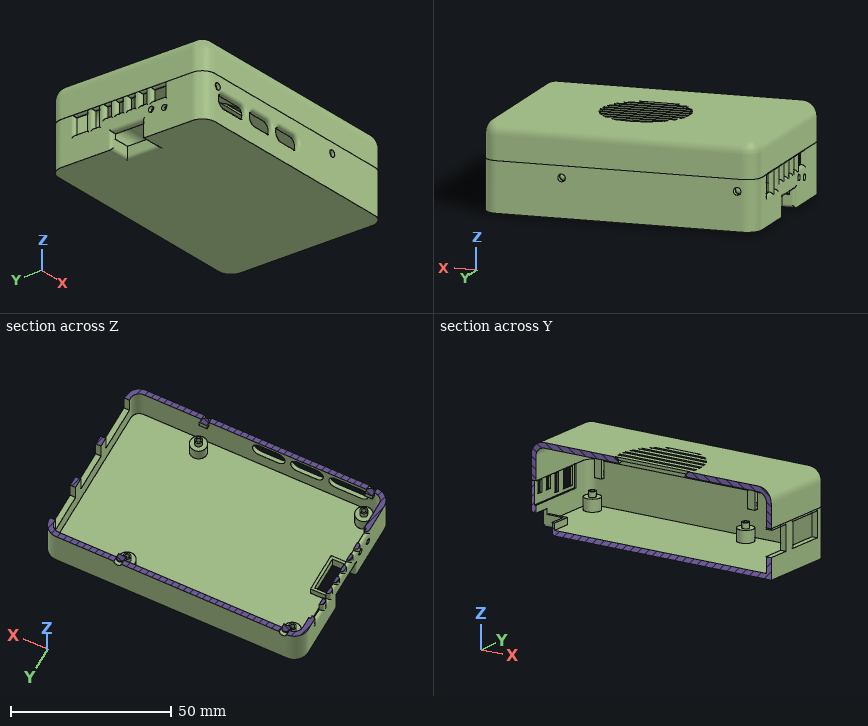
import cadquery as cq
import math

LENGTH = 91.0
WIDTH = 62.0
HEIGHT = 30.0
SPLIT_Z = 16.9
WALL = 2.0
OUTER_RADIUS = 5.0
INNER_RADIUS = OUTER_RADIUS - WALL
INNER_LENGTH = LENGTH - 2 * WALL
INNER_WIDTH = WIDTH - 2 * WALL
MOUTH_RADIUS = 1.1
CLEARANCE = 0.9

BOARD_BOTTOM_Z = 6.3
BOARD_TOP_Z = 7.5
POST_X = (-39.05, 18.9)
POST_Y = 24.5
POST_DIAMETER = 5.7
PEG_DIAMETER = 2.5
PEG_TOP_Z = 8.2
PILOT_DIAMETER = 1.5

VENT_ROW_Y = 3.0
VENT_TOP_Z = 16.3
LARGE_VENT = 4.7
SMALL_VENT = 1.9
SMALL_VENTS = 5
VENT_WIDTHS = [LARGE_VENT] + [SMALL_VENT] * SMALL_VENTS + [LARGE_VENT]
VENT_GAP = 0.59
VENT_STEP = 2 * MOUTH_RADIUS + VENT_GAP
DEEP_VENT_Z = 10.0
SHALLOW_VENT_Z = 12.1
VENT_SKIN = 1.4
DEEP_VENTS = 2

PANEL_HOLE_DIAMETER = 2.0
PANEL_HOLES = ((-9.6, 9.2), (-14.75, 8.2))

NOTCH_WIDTH = 12.1
NOTCH_LENGTH = 8.0
PAD_TOP_Z = 4.4
PAD_MARGIN = 1.0

PORTS = (
    (-31.3, 9.2, 13.7, 4.7),
    (-16.75, 9.4, 11.4, 4.9),
    (-3.4, 9.4, 11.4, 4.9),
)

CONNECTORS = ((-25.1, -9.2), (-5.7, 8.0), (11.7, 25.3))

SNAP_Z = 13.0
SNAP_DIAMETER = 2.5
TAB_WIDTH = 2.7
TAB_THICKNESS = 1.4
TAB_DROP = 1.6

GRILLE_X = 0.3
GRILLE_Y = 4.4
GRILLE_DIAMETER = 26.4
SLAT_COUNT = 9
SLAT_WIDTH = 2.0
SLAT_PITCH = 3.0
SLAT_RECESS = 0.1
SLAT_THICKNESS = 1.0


def block(x_range, y_range, z_range):
    """Box between the given limits."""
    size = [high - low for low, high in (x_range, y_range, z_range)]
    corner = (x_range[0], y_range[0], z_range[0])
    return cq.Workplane("XY").box(*size, centered=False).translate(corner)


def mouth_cutter(profile, width, height):
    """Cutter along +Z through a wall whose outer face is at Z = 0, with a rounded mouth.

    `profile` draws the opening, centred, on a workplane; width and height are its size.
    """
    half_width = width / 2 + MOUTH_RADIUS
    half_height = height / 2 + MOUTH_RADIUS
    margin = 2 * MOUTH_RADIUS
    plate = block(
        (-half_width - margin, half_width + margin),
        (-half_height - margin, half_height + margin),
        (0, WALL),
    )
    mouth = cq.selectors.BoxSelector(
        (-half_width, -half_height, -MOUTH_RADIUS),
        (half_width, half_height, MOUTH_RADIUS),
    )
    pierced = plate.cut(profile(cq.Workplane("XY")).extrude(WALL))
    rounded = pierced.faces("<Z").edges(mouth).fillet(MOUTH_RADIUS)
    inner_end = profile(cq.Workplane("XY", origin=(0, 0, WALL))).extrude(CLEARANCE)
    return plate.cut(rounded).union(inner_end)


def side_wall_cutter(y, z_low, z_high, width):
    """Rectangular opening with a rounded mouth in the -X wall."""
    height = z_high - z_low
    cutter = mouth_cutter(lambda plane: plane.rect(height, width), height, width)
    cutter = cutter.rotate((0, 0, 0), (0, 1, 0), 90)
    return cutter.translate((-LENGTH / 2, y, (z_low + z_high) / 2))


def vent_row_length():
    """Length of the row between the outer sides of its end vents."""
    return sum(VENT_WIDTHS) + VENT_STEP * (len(VENT_WIDTHS) - 1)


def vents():
    """Row of vents, from the +Y end."""
    y_side = VENT_ROW_Y + vent_row_length() / 2
    cutters = []
    for index, width in enumerate(VENT_WIDTHS):
        bottom = DEEP_VENT_Z if index < DEEP_VENTS else SHALLOW_VENT_Z
        cutters.append(side_wall_cutter(y_side - width / 2, bottom, VENT_TOP_Z, width))
        y_side -= width + VENT_STEP
    return cutters


def ports():
    """Rounded-end ports in the -Y wall."""
    cutters = []
    for x, z, width, height in PORTS:
        cutter = mouth_cutter(lambda plane: plane.slot2D(width, height), width, height)
        cutter = cutter.rotate((0, 0, 0), (1, 0, 0), -90)
        cutters.append(cutter.translate((x, -WIDTH / 2, z)))
    return cutters


def panel_holes():
    """Round holes in the -X wall."""
    holes = cq.Workplane("YZ", origin=(-LENGTH / 2, 0, 0)).pushPoints(PANEL_HOLES)
    return holes.circle(PANEL_HOLE_DIAMETER / 2).extrude(WALL)


def connector_openings():
    """Rectangular openings in the +X wall, standing on the board."""
    x_range = (LENGTH / 2 - WALL - CLEARANCE, LENGTH / 2 + CLEARANCE)
    return [block(x_range, y_range, (BOARD_TOP_Z, VENT_TOP_Z)) for y_range in CONNECTORS]


def vent_recess():
    """Recess inside the -X wall that thins it behind the whole row of vents."""
    half_row = vent_row_length() / 2 + MOUTH_RADIUS
    return block(
        (-LENGTH / 2 + VENT_SKIN, -LENGTH / 2 + WALL + CLEARANCE),
        (VENT_ROW_Y - half_row, VENT_ROW_Y + half_row),
        (DEEP_VENT_Z - MOUTH_RADIUS, SPLIT_Z),
    )


def cut_notch(tray):
    """Cut the memory card notch through wall, floor and pad, and round its outer edges."""
    half_width = NOTCH_WIDTH / 2
    x_end = -LENGTH / 2 + NOTCH_LENGTH
    notch = block(
        (-LENGTH / 2 - CLEARANCE, x_end),
        (-half_width, half_width),
        (-CLEARANCE, BOARD_BOTTOM_Z),
    )
    tray = tray.cut(notch)
    reach = MOUTH_RADIUS / 2
    in_wall = cq.selectors.BoxSelector(
        (-LENGTH / 2 - reach, -half_width - reach, 0),
        (-LENGTH / 2 + reach, half_width + reach, BOARD_BOTTOM_Z + reach),
    )
    in_floor = cq.selectors.BoxSelector(
        (-LENGTH / 2 + reach, -half_width - reach, -reach),
        (x_end + reach, half_width + reach, reach),
    )
    return tray.edges(in_wall + in_floor).fillet(MOUTH_RADIUS)


def corner_places():
    """(x, direction of Y) of each board post and of the snap beside it."""
    return [(x, side) for x in POST_X for side in (-1, 1)]


def base():
    """Open tray with board posts, ports, vents and snap holes."""
    tray = cq.Workplane("XY").rect(LENGTH, WIDTH).extrude(SPLIT_Z).edges("|Z").fillet(OUTER_RADIUS)
    cavity = cq.Workplane("XY", origin=(0, 0, WALL)).rect(INNER_LENGTH, INNER_WIDTH).extrude(SPLIT_Z)
    tray = tray.cut(cavity.edges("|Z").fillet(INNER_RADIUS))

    pad_y = NOTCH_WIDTH / 2 + PAD_MARGIN
    pad_x = (-LENGTH / 2 + WALL, -LENGTH / 2 + NOTCH_LENGTH + PAD_MARGIN)
    tray = tray.union(block(pad_x, (-pad_y, pad_y), (0, PAD_TOP_Z)))

    post_places = [(x, side * POST_Y) for x, side in corner_places()]
    for diameter, top in ((POST_DIAMETER, BOARD_BOTTOM_Z), (PEG_DIAMETER, PEG_TOP_Z)):
        tray = tray.union(cq.Workplane("XY").pushPoints(post_places).circle(diameter / 2).extrude(top))
    pilots = cq.Workplane("XY", origin=(0, 0, WALL)).pushPoints(post_places)
    tray = tray.cut(pilots.circle(PILOT_DIAMETER / 2).extrude(PEG_TOP_Z))

    tray = cut_notch(tray).cut(vent_recess()).cut(panel_holes())
    for cutter in vents() + ports() + connector_openings():
        tray = tray.cut(cutter)

    snap_holes = cq.Workplane("XZ", origin=(0, WIDTH / 2, 0)).pushPoints([(x, SNAP_Z) for x in POST_X])
    return tray.cut(snap_holes.circle(SNAP_DIAMETER / 2).extrude(WIDTH))


def grille_opening():
    """Round opening in the lid top, its upper edge rounded through the full thickness."""
    radius = GRILLE_DIAMETER / 2
    depth = HEIGHT - WALL
    inset = WALL * (1 - math.sqrt(0.5))
    return (
        cq.Workplane("XZ")
        .moveTo(0, depth)
        .lineTo(radius, depth)
        .threePointArc((radius + inset, HEIGHT - inset), (radius + WALL, HEIGHT))
        .lineTo(0, HEIGHT)
        .close()
        .revolve(360, (0, 0, 0), (0, 1, 0))
        .translate((GRILLE_X, GRILLE_Y, 0))
    )


def grille_slats():
    """Parallel slats, trimmed to the grille opening."""
    top = HEIGHT - SLAT_RECESS
    slats = (
        cq.Workplane("XY", origin=(GRILLE_X, GRILLE_Y, top - SLAT_THICKNESS))
        .rarray(0.9, SLAT_PITCH, 1, SLAT_COUNT)
        .rect(GRILLE_DIAMETER + 2 * WALL, SLAT_WIDTH)
        .extrude(SLAT_THICKNESS)
    )
    return slats.intersect(grille_opening())


def snap_tab(x, side):
    """Tab that hangs inside the base wall, with half a ball that enters the snap hole."""
    wall_y = INNER_WIDTH / 2
    tab = block(
        (x - TAB_WIDTH / 2, x + TAB_WIDTH / 2),
        (wall_y - TAB_THICKNESS, wall_y),
        (SNAP_Z - TAB_DROP, HEIGHT - OUTER_RADIUS),
    )
    tab = tab.union(cq.Workplane("XY").sphere(SNAP_DIAMETER / 2).translate((x, wall_y, SNAP_Z)))
    return tab if side > 0 else tab.mirror("XZ")


def lid():
    """Rounded cover with a fan grille and snap tabs."""
    cover = cq.Workplane("XY", origin=(0, 0, SPLIT_Z)).rect(LENGTH, WIDTH).extrude(HEIGHT - SPLIT_Z)
    cover = cover.edges("|Z").fillet(OUTER_RADIUS).faces(">Z").edges().fillet(OUTER_RADIUS)
    cavity = cq.Workplane("XY", origin=(0, 0, SPLIT_Z)).rect(INNER_LENGTH, INNER_WIDTH)
    cavity = cavity.extrude(HEIGHT - WALL - SPLIT_Z)
    cavity = cavity.edges("|Z").fillet(INNER_RADIUS).faces(">Z").edges().fillet(INNER_RADIUS)
    cover = cover.cut(cavity).cut(grille_opening()).union(grille_slats())
    for x, side in corner_places():
        cover = cover.union(snap_tab(x, side))
    return cover


case_base = base()
case_lid = lid()

result = cq.Compound.makeCompound([case_base.solids().val(), case_lid.solids().val()])